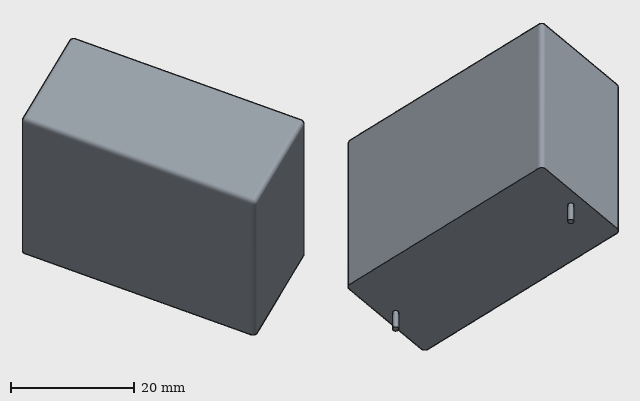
import cadquery as cq


case_length = 42.0
case_width = 19.5
case_height = 34.0
edge_radius = 0.8

lead_diameter = 1.0
lead_length = 3.8
lead_pitch = 37.5


def make_case():
    """Block with rounded upright and top edges and a flat, sharp underside."""
    block = cq.Workplane("XY").box(case_length, case_width, case_height, centered=(True, True, False))
    return block.edges("|Z or >Z").fillet(edge_radius)


def make_lead(x):
    """Round lead hanging straight down from the underside of the case."""
    return cq.Workplane("XY").center(x, 0).circle(lead_diameter / 2).extrude(-lead_length)


case = make_case()
leads = [make_lead(side * lead_pitch / 2) for side in (-1, 1)]

result = cq.Compound.makeCompound([case.val(), *[lead.val() for lead in leads]])